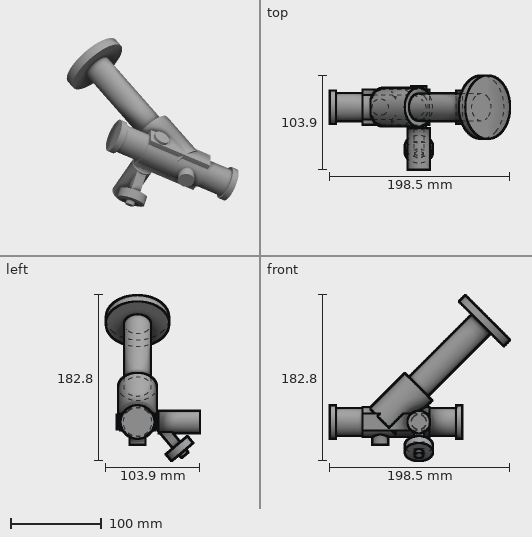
import cadquery as cq
import math

PIPE_LENGTH = 146.0
PIPE_DIAMETER = 31.3
END_FLANGE_DIAMETER = 37.2
END_FLANGE_THICKNESS = 7.0

BODY_LENGTH = 74.0
BARREL_DIAMETER = 33.0
BLOCK_WIDTH = 39.0
BLOCK_HEIGHT = 18.6

BONNET_ANGLE = 45.0
BONNET_BASE_X = -14.15
SLEEVE_DIAMETER = 43.0
SLEEVE_LENGTH = 55.0
STEM_DIAMETER = 30.0
HANDWHEEL_DIAMETER = 70.0
HANDWHEEL_THICKNESS = 10.0
BONNET_LENGTH = 162.5

DRAIN_X = -17.4
DRAIN_DIAMETER = 18.0
DRAIN_DEPTH = 25.2

BRANCH_X = 25.0
BOSS_DIAMETER = 17.0
BOSS_REACH = 23.0
NECK_DIAMETER = 16.0
SIDE_PORT_DIAMETER = 24.98
SIDE_PORT_START = 22.9
SIDE_PORT_END = 68.9

COCK_TILT = 40.0
COCK_ARM_SIZE = 11.0
COCK_PIVOT_Y = -21.6
COCK_ARM_LENGTH = 33.2
COCK_KNOB_DIAMETER = 31.25
COCK_KNOB_THICKNESS = 10.0
COCK_PIN_DIAMETER = 10.0
COCK_PIN_LENGTH = 4.4


def cylinder(diameter, length, start, direction):
    """Solid cylinder running from a start point along a direction."""
    solid = cq.Solid.makeCylinder(diameter / 2, length, cq.Vector(*start), cq.Vector(*direction))
    return cq.Workplane(obj=solid)


def make_pipe():
    along_x = (1, 0, 0)
    half_length = PIPE_LENGTH / 2
    pipe = cylinder(PIPE_DIAMETER, PIPE_LENGTH, (-half_length, 0, 0), along_x)
    for flange_x in (-half_length, half_length - END_FLANGE_THICKNESS):
        flange = cylinder(END_FLANGE_DIAMETER, END_FLANGE_THICKNESS, (flange_x, 0, 0), along_x)
        pipe = pipe.union(flange)
    return pipe


def make_body():
    barrel = cylinder(BARREL_DIAMETER, BODY_LENGTH, (-BODY_LENGTH / 2, 0, 0), (1, 0, 0))
    block = cq.Workplane().box(BODY_LENGTH, BLOCK_WIDTH, BLOCK_HEIGHT)
    return barrel.union(block)


def make_bonnet():
    angle = math.radians(BONNET_ANGLE)
    axis = (math.cos(angle), 0, math.sin(angle))
    base = (BONNET_BASE_X, 0, 0)
    handwheel_start = BONNET_LENGTH - HANDWHEEL_THICKNESS
    handwheel_base = (
        BONNET_BASE_X + handwheel_start * axis[0],
        0,
        handwheel_start * axis[2],
    )
    sleeve = cylinder(SLEEVE_DIAMETER, SLEEVE_LENGTH, base, axis)
    stem = cylinder(STEM_DIAMETER, BONNET_LENGTH, base, axis)
    handwheel = cylinder(HANDWHEEL_DIAMETER, HANDWHEEL_THICKNESS, handwheel_base, axis)
    return sleeve.union(stem).union(handwheel)


def make_drain():
    return cylinder(DRAIN_DIAMETER, DRAIN_DEPTH, (DRAIN_X, 0, 0), (0, 0, -1))


def make_side_branch():
    centre = (BRANCH_X, 0, 0)
    towards_port = (0, -1, 0)
    boss = cylinder(BOSS_DIAMETER, BOSS_REACH, centre, (0, 1, 0))
    neck = cylinder(NECK_DIAMETER, SIDE_PORT_END, centre, towards_port)
    port_length = SIDE_PORT_END - SIDE_PORT_START
    port = cylinder(SIDE_PORT_DIAMETER, port_length, (BRANCH_X, -SIDE_PORT_START, 0), towards_port)
    return boss.union(neck).union(port)


def make_test_cock():
    """Arm, knob and pin built straight down, then tilted about the top of the arm."""
    arm = cq.Workplane().rect(COCK_ARM_SIZE, COCK_ARM_SIZE).extrude(-COCK_ARM_LENGTH)
    knob = cylinder(COCK_KNOB_DIAMETER, COCK_KNOB_THICKNESS, (0, 0, -COCK_ARM_LENGTH), (0, 0, -1))
    knob_end = COCK_ARM_LENGTH + COCK_KNOB_THICKNESS
    pin = cylinder(COCK_PIN_DIAMETER, COCK_PIN_LENGTH, (0, 0, -knob_end), (0, 0, -1))
    cock = arm.union(knob).union(pin)
    tilted = cock.rotate((0, 0, 0), (1, 0, 0), -COCK_TILT)
    return tilted.translate((BRANCH_X, COCK_PIVOT_Y, 0))


result = (
    make_pipe()
    .union(make_body())
    .union(make_bonnet())
    .union(make_drain())
    .union(make_side_branch())
    .union(make_test_cock())
)